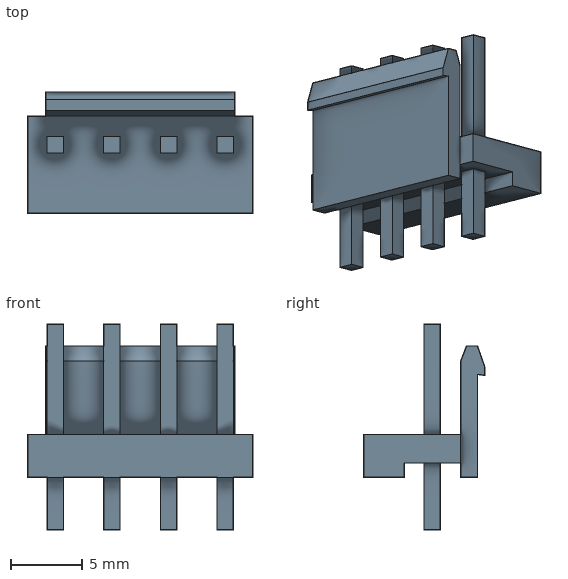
import cadquery as cq

body_length = 15.78
body_depth = 6.8
body_height = 3.01
foot_depth = 2.85
step_height = 1.01

wall_length = 13.25
wall_thickness = 1.18
wall_top = 9.22
lead_in_height = 1.05
tip_front = 0.41
hook_reach = 0.52
hook_tip_bottom = 7.13
hook_root_bottom = 7.21
hook_tip_top = 7.72

pin_count = 4
pin_pitch = 3.96
pin_width = 1.15
pin_length = 14.4
pin_bottom = -3.68
pin_center_y = -2.0


def extrude_along_x(profile, length):
    """Extrude a (y, z) outline symmetrically about x = 0."""
    return cq.Workplane("YZ").polyline(profile).close().extrude(length / 2, both=True)


def make_body():
    foot_back = foot_depth - body_depth
    return extrude_along_x(
        [
            (-body_depth, 0),
            (foot_back, 0),
            (foot_back, step_height),
            (0, step_height),
            (0, body_height),
            (-body_depth, body_height),
        ],
        body_length,
    )


def make_latch_wall():
    hook_tip = wall_thickness + hook_reach
    return extrude_along_x(
        [
            (0, 0),
            (wall_thickness, 0),
            (wall_thickness, hook_root_bottom),
            (hook_tip, hook_tip_bottom),
            (hook_tip, hook_tip_top),
            (wall_thickness, wall_top),
            (tip_front, wall_top),
            (0, wall_top - lead_in_height),
        ],
        wall_length,
    )


def make_pins():
    return (
        cq.Workplane("XY", origin=(0, pin_center_y, pin_bottom))
        .rarray(pin_pitch, 0.15, pin_count, 1)
        .rect(pin_width, pin_width)
        .extrude(pin_length)
    )


result = make_body().union(make_latch_wall()).union(make_pins())